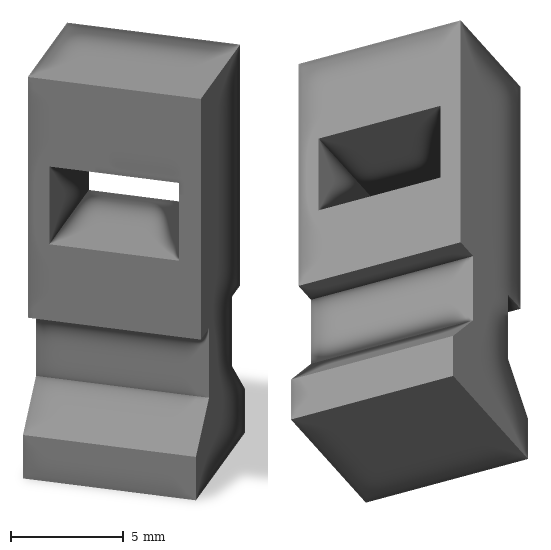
import cadquery as cq

width = 8.0
height = 19.25

foot_depth = 7.5
neck_depth = 3.5
head_depth = 6.0
foot_edge_height = 2.12
head_height = 11.75

taper_rise = (foot_depth - neck_depth) / 2
taper_top = foot_edge_height + taper_rise
head_bottom = height - head_height

window_width = 6.0
window_height = 3.8
window_top_margin = 4.24
window_center_z = height - window_top_margin - window_height / 2


def make_body():
    """Extrude the foot, neck and head outline across the full width."""
    half_outline = [
        (foot_depth / 2, 0),
        (foot_depth / 2, foot_edge_height),
        (neck_depth / 2, taper_top),
        (neck_depth / 2, head_bottom),
        (head_depth / 2, head_bottom),
        (head_depth / 2, height),
    ]
    mirrored_half = [(-y, z) for y, z in reversed(half_outline)]
    outline = half_outline + mirrored_half
    return cq.Workplane("YZ").polyline(outline).close().extrude(width / 2, both=True)


def make_window():
    """Block that cuts the window along Y."""
    return (
        cq.Workplane("XY")
        .box(window_width, head_depth, window_height)
        .translate((0, 0, window_center_z))
    )


result = make_body().cut(make_window())